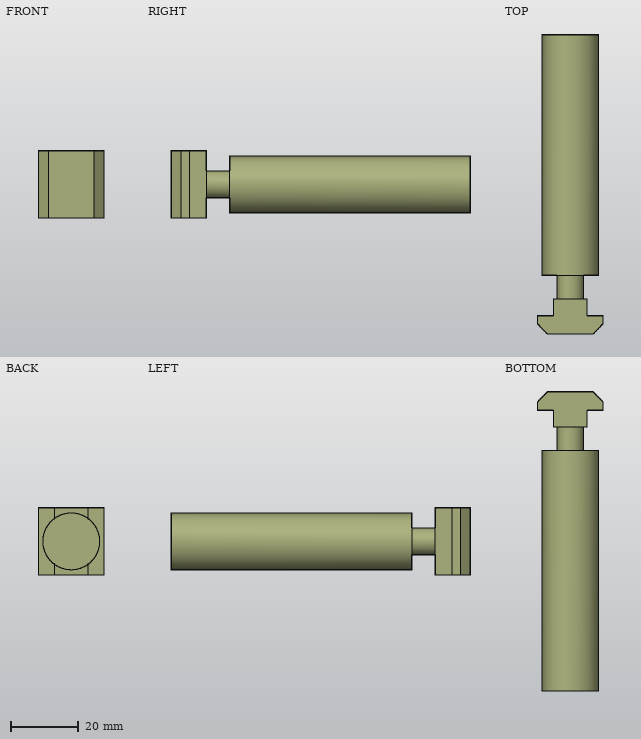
import cadquery as cq

total_length = 89.0
head_width = 19.5
head_height = 20.0

head_length = 10.5
flange_length = 5.5
chamfer_length = 3.0
chamfer_width = 2.9
stem_width = 10.0

neck_diameter = 8.0
neck_length = 6.9
handle_diameter = 16.9
handle_start = head_length + neck_length
handle_length = total_length - handle_start


def make_head():
    """T-shaped block with beveled front corners, centred on the Y axis."""
    half_flange = head_width / 2
    half_stem = stem_width / 2
    half_outline = [
        (half_flange - chamfer_width, 0),
        (half_flange, chamfer_length),
        (half_flange, flange_length),
        (half_stem, flange_length),
        (half_stem, head_length),
    ]
    mirrored = [(-x, y) for x, y in reversed(half_outline)]
    outline = cq.Workplane("XY").polyline(half_outline + mirrored).close()
    return outline.extrude(head_height / 2, both=True)


def make_cylinder(diameter, start, length):
    """Cylinder on the Y axis, running from start towards +Y."""
    plane = cq.Plane(origin=(0, start, 0), xDir=(1, 0, 0), normal=(0, 1, 0))
    return cq.Workplane(plane).circle(diameter / 2).extrude(length)


neck = make_cylinder(neck_diameter, head_length, neck_length)
handle = make_cylinder(handle_diameter, handle_start, handle_length)
result = make_head().union(neck).union(handle)